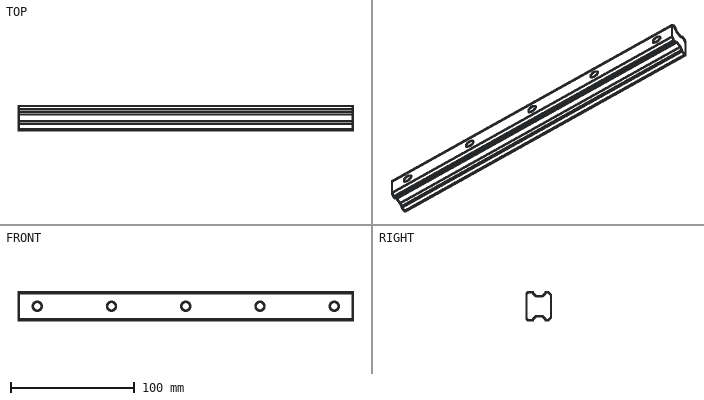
import cadquery as cq

length = 270.0
depth = 20.0
height = 23.0

front_bevel = 1.4
back_bevel = 2.5

groove_width = 10.3
groove_lip_width = 9.5
groove_floor_width = 5.0
groove_depth = 3.2
groove_lip_depth = 1.4
groove_center_y = 0.4

hole_diameter = 7.0
hole_count = 5
hole_pitch = 60.0


def bevelled_block():
    block = cq.Workplane("XY").box(length, depth, height)
    block = block.faces("<Y").edges("|X").chamfer(front_bevel)
    return block.faces(">Y").edges("|X").chamfer(back_bevel)


def groove_cutter(side):
    """Bar with the groove section, sunk into the top (side=1) or bottom (side=-1)."""
    levels = [
        (groove_width / 2, 0),
        (groove_lip_width / 2, groove_lip_depth),
        (groove_floor_width / 2, groove_depth),
    ]
    front_wall = [
        (groove_center_y - half_width, side * (height / 2 - drop)) for half_width, drop in levels
    ]
    back_wall = [
        (groove_center_y + half_width, side * (height / 2 - drop)) for half_width, drop in levels
    ]
    section = front_wall + back_wall[::-1]
    return (
        cq.Workplane("YZ", origin=(-length / 2, 0, 0))
        .polyline(section)
        .close()
        .extrude(length)
    )


def hole_cutters():
    return (
        cq.Workplane("XZ", origin=(0, depth / 2, 0))
        .rarray(hole_pitch, 2.7, hole_count, 1)
        .circle(hole_diameter / 2)
        .extrude(depth)
    )


result = bevelled_block()
for side in (1, -1):
    result = result.cut(groove_cutter(side))
result = result.cut(hole_cutters())